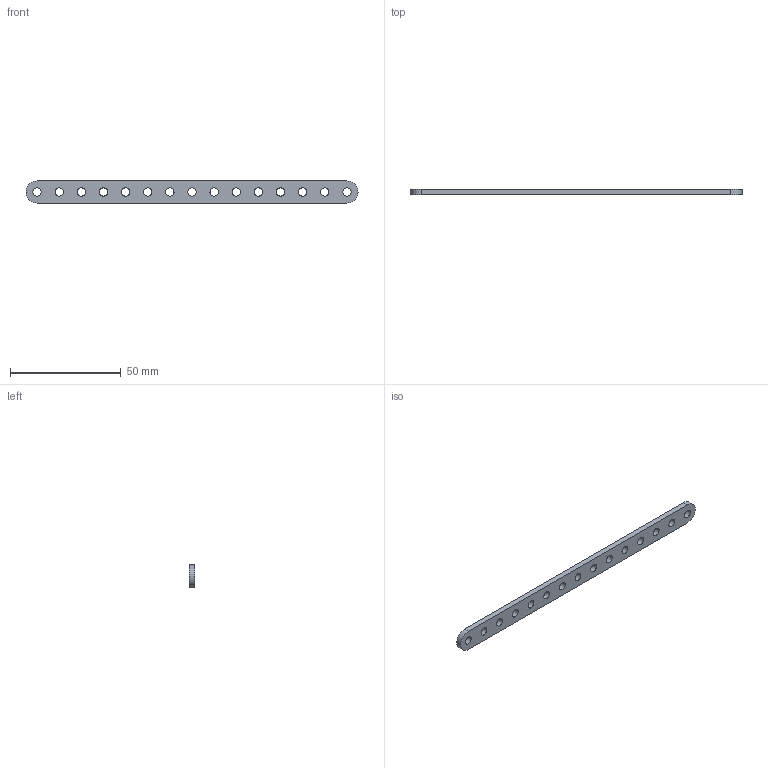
import cadquery as cq

hole_count = 15
hole_pitch = 10.0
hole_diameter = 3.75
strip_width = 10.0
strip_thickness = 2.5

hole_span = (hole_count - 1) * hole_pitch
strip_length = hole_span + strip_width


def make_strip():
    """Flat bar with semicircular ends, lying in the XZ plane and centred on the origin."""
    back_plane = cq.Workplane("XZ", origin=(0, strip_thickness / 2, 0))
    return back_plane.slot2D(strip_length, strip_width).extrude(strip_thickness)


def drill_holes(strip):
    """Drill the row of through holes, evenly spaced along X, in from the -Y face."""
    front_plane = strip.faces("<Y").workplane(origin=(0, 0, 0))
    hole_centres = front_plane.rarray(hole_pitch, strip_width, hole_count, 1)
    return hole_centres.hole(hole_diameter)


result = drill_holes(make_strip())